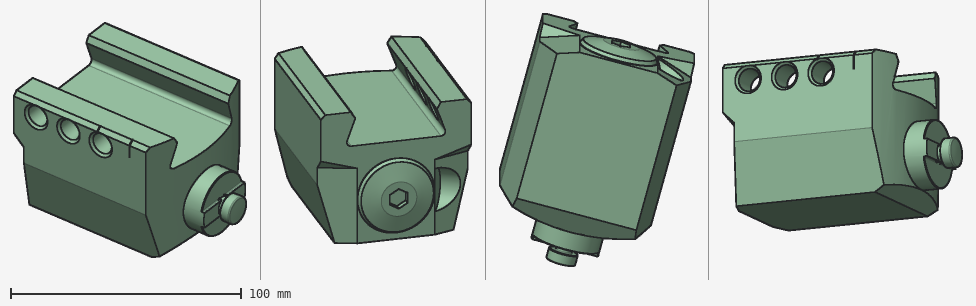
import cadquery as cq
import math

WIDTH = 68.0
HEIGHT = 62.0
END_RADIUS = 79.1
LOWER_FLANK_TOP = 27.1
BASE_WIDTH = 53.7
RAIL_CHAMFER = 2.0
RAIL_CHAMFER_ANGLE = 45.0
NOSE_START = 69.6
NOSE_ANGLE = 30.0

CHANNEL_FLOOR = 46.1
CHANNEL_LIP_WIDTH = 36.8
CHANNEL_LIP_DROP = 3.1
CHANNEL_LIP_ANGLE = 30.0
UNDERCUT_ANGLE = 20.0
CHANNEL_FILLET = 2.0

CORNER_CUT_INNER_WIDTH = 34.9
CORNER_CUT_DEPTH = 5.4
CORNER_CUT_TOP = 35.3

RECESS_RADIUS = 10.0
RECESS_HEIGHT = 21.0
RECESS_ANGLE = 60.0

HOLE_COUNT = 3
HOLE_FIRST_X = 12.1
HOLE_PITCH = 17.5
HOLE_HEIGHT = 54.0
HOLE_RADIUS = 5.0
COUNTERSINK = 1.2

MARK_COUNT = 2
MARK_FIRST_X = 45.2
MARK_WIDTH = 0.3
MARK_DEPTH = 0.2

AXIS_HEIGHT = 20.6
BOSS_RADIUS = 15.1
BOSS_FACE = 87.2
BOSS_CHAMFER = 0.3
TONGUE_FACE = 88.7
TONGUE_THICKNESS = 7.7
TONGUE_FILLET = 0.3
CLEARANCE_RADIUS = 4.4

BUTTON_RADIUS = 17.5
BUTTON_SHOULDER_RADIUS = 16.4
BUTTON_CROWN_RADIUS = 8.0
BUTTON_HEIGHT = 4.1
BUTTON_SHOULDER_HEIGHT = 1.9
BUTTON_RIM = 0.2
HEX_ACROSS_FLATS = 8.0
HEX_DEPTH = 3.0

KNOB_RADIUS = 6.5
KNOB_BACK = 90.9
KNOB_END = 96.3
KNOB_BACK_CHAMFER = 0.3
KNOB_EDGE_FILLET = 0.6
KNOB_DOME_RISE = 0.4
SHANK_RADIUS = 3.6
SHANK_FILLET = 0.3

HALF_WIDTH = WIDTH / 2
CORNER_ANGLE = math.degrees(math.atan2(CORNER_CUT_DEPTH, HALF_WIDTH - CORNER_CUT_INNER_WIDTH / 2))


def tangent(degrees):
    return math.tan(math.radians(degrees))


def axis_plane(x):
    """Plane facing +X at x, centred on the shared axis; local x is Y and local y is Z."""
    return cq.Workplane("YZ", origin=(x, 0, AXIS_HEIGHT))


def block():
    """Block with tapered flanks and chamfered rails, rounded in plan at the +X end."""
    half_base = BASE_WIDTH / 2
    chamfer_y = HALF_WIDTH - RAIL_CHAMFER
    chamfer_z = HEIGHT - RAIL_CHAMFER * tangent(RAIL_CHAMFER_ANGLE)
    section = (
        cq.Workplane("YZ")
        .polyline([
            (-half_base, 0), (half_base, 0),
            (HALF_WIDTH, LOWER_FLANK_TOP), (HALF_WIDTH, chamfer_z), (chamfer_y, HEIGHT),
            (-chamfer_y, HEIGHT), (-HALF_WIDTH, chamfer_z), (-HALF_WIDTH, LOWER_FLANK_TOP),
        ])
        .close()
        .extrude(END_RADIUS)
    )
    return section.intersect(cq.Workplane("XY").circle(END_RADIUS).extrude(HEIGHT))


def nose_slope():
    run = END_RADIUS - NOSE_START
    return (
        cq.Workplane("XZ")
        .polyline([(NOSE_START, 0), (END_RADIUS, 0), (END_RADIUS, run * tangent(NOSE_ANGLE))])
        .close()
        .extrude(HALF_WIDTH, both=True)
    )


def channel():
    """Dovetail channel with rounded floor corners."""
    half_lip = CHANNEL_LIP_WIDTH / 2
    lip_z = HEIGHT - CHANNEL_LIP_DROP
    half_top = half_lip + CHANNEL_LIP_DROP * tangent(CHANNEL_LIP_ANGLE)
    half_floor = half_lip + (lip_z - CHANNEL_FLOOR) * tangent(UNDERCUT_ANGLE)
    return (
        cq.Workplane("YZ")
        .polyline([
            (-half_floor, CHANNEL_FLOOR), (half_floor, CHANNEL_FLOOR),
            (half_lip, lip_z), (half_top, HEIGHT),
            (-half_top, HEIGHT), (-half_lip, lip_z),
        ])
        .close()
        .extrude(END_RADIUS)
        .edges("|X and <Z")
        .fillet(CHANNEL_FILLET)
    )


def corner_cut():
    """Slanted cut on the -Y corner, its roof rising outwards at 45 degrees."""
    reach = HALF_WIDTH
    angle = math.radians(CORNER_ANGLE)
    along = (math.sin(angle), -math.cos(angle), 0)
    outward = (-math.cos(angle), -math.sin(angle), 0)
    plane = cq.Plane(origin=(0, -CORNER_CUT_INNER_WIDTH / 2, 0), xDir=outward, normal=along)
    up = plane.yDir.z
    roof = CORNER_CUT_TOP
    return (
        cq.Workplane(plane)
        .polyline([(0, 0), (reach, 0), (reach, up * (roof + reach)), (0, up * roof)])
        .close()
        .extrude(reach, both=True)
    )


def corner_recess():
    """Round recess centred on the inner edge of the -Y corner cut."""
    angle = math.radians(RECESS_ANGLE)
    outward = (-math.cos(angle), -math.sin(angle), 0)
    plane = cq.Plane(
        origin=(0, -CORNER_CUT_INNER_WIDTH / 2, RECESS_HEIGHT), xDir=(0, 0, 1), normal=outward
    )
    return cq.Workplane(plane).circle(RECESS_RADIUS).extrude(HALF_WIDTH)


def cross_hole(x):
    """Hole through the -Y rail into the channel, countersunk at 45 degrees."""
    profile = [
        (0, 0), (HOLE_RADIUS + COUNTERSINK, 0), (HOLE_RADIUS, COUNTERSINK),
        (HOLE_RADIUS, HALF_WIDTH), (0, HALF_WIDTH),
    ]
    return (
        cq.Workplane("XY", origin=(x, -HALF_WIDTH, HOLE_HEIGHT))
        .polyline(profile)
        .close()
        .revolve(360, (0, 0, 0), (0, 1, 0))
    )


def index_mark(x):
    """Shallow groove up the -Y side from the hole centre height and over the rail chamfer."""
    floor_y = -HALF_WIDTH + MARK_DEPTH
    slope = tangent(RAIL_CHAMFER_ANGLE)
    bend_z = HEIGHT - RAIL_CHAMFER * slope - MARK_DEPTH * tangent(RAIL_CHAMFER_ANGLE / 2)
    top_y = floor_y + (HEIGHT - bend_z) / slope
    return (
        cq.Workplane("YZ", origin=(x, 0, 0))
        .polyline([
            (-HALF_WIDTH, HOLE_HEIGHT), (floor_y, HOLE_HEIGHT), (floor_y, bend_z),
            (top_y, HEIGHT), (-HALF_WIDTH, HEIGHT),
        ])
        .close()
        .extrude(MARK_WIDTH / 2, both=True)
    )


def boss():
    """Round boss with a filleted tongue across its face and a clearance round the knob shank."""
    start = END_RADIUS / 2
    disc = (
        axis_plane(start)
        .circle(BOSS_RADIUS)
        .extrude(BOSS_FACE - start)
        .faces(">X")
        .chamfer(BOSS_CHAMFER)
    )
    half = TONGUE_THICKNESS / 2
    flare = half + TONGUE_FILLET
    fillet_end = BOSS_FACE + TONGUE_FILLET
    tongue = (
        cq.Workplane("XZ", origin=(0, 0, AXIS_HEIGHT))
        .moveTo(start, -flare)
        .lineTo(BOSS_FACE, -flare)
        .radiusArc((fillet_end, -half), TONGUE_FILLET)
        .lineTo(TONGUE_FACE, -half)
        .lineTo(TONGUE_FACE, half)
        .lineTo(fillet_end, half)
        .radiusArc((BOSS_FACE, flare), TONGUE_FILLET)
        .lineTo(start, flare)
        .close()
        .extrude(BOSS_RADIUS, both=True)
        .intersect(axis_plane(start).circle(BOSS_RADIUS).extrude(TONGUE_FACE - start))
    )
    clearance = axis_plane(BOSS_FACE).circle(CLEARANCE_RADIUS).extrude(TONGUE_FACE - BOSS_FACE)
    return disc.union(tongue).cut(clearance)


def make_housing():
    housing = block().cut(nose_slope()).cut(channel())
    cut = corner_cut()
    housing = housing.cut(cut).cut(cut.mirror("XZ")).cut(corner_recess())
    for i in range(HOLE_COUNT):
        housing = housing.cut(cross_hole(HOLE_FIRST_X + i * HOLE_PITCH))
    for i in range(MARK_COUNT):
        housing = housing.cut(index_mark(MARK_FIRST_X + i * HOLE_PITCH))
    return housing.union(boss())


def make_button():
    """Conical button with a hexagonal socket, one corner of the hexagon pointing up."""
    head = (
        cq.Workplane("XZ", origin=(0, 0, AXIS_HEIGHT))
        .polyline([
            (0, 0), (0, BUTTON_RADIUS), (-BUTTON_RIM, BUTTON_RADIUS),
            (-BUTTON_SHOULDER_HEIGHT, BUTTON_SHOULDER_RADIUS),
            (-BUTTON_HEIGHT, BUTTON_CROWN_RADIUS), (-BUTTON_HEIGHT, 0),
        ])
        .close()
        .revolve(360, (0, 0, 0), (1, 0, 0))
    )
    across_corners = HEX_ACROSS_FLATS / math.cos(math.pi / 6)
    socket = (
        axis_plane(-BUTTON_HEIGHT)
        .transformed(rotate=(0, 0, 90))
        .polygon(6, across_corners)
        .extrude(HEX_DEPTH)
    )
    return head.cut(socket)


def make_knob():
    """Round knob with a slightly domed front, its shank standing on the boss face."""
    rim_end = KNOB_END - KNOB_DOME_RISE
    dome_edge = KNOB_RADIUS - KNOB_EDGE_FILLET
    dome_radius = (dome_edge**2 + KNOB_DOME_RISE**2) / (2 * KNOB_DOME_RISE)
    return (
        cq.Workplane("XZ", origin=(0, 0, AXIS_HEIGHT))
        .moveTo(BOSS_FACE, 0)
        .lineTo(BOSS_FACE, SHANK_RADIUS)
        .lineTo(KNOB_BACK - SHANK_FILLET, SHANK_RADIUS)
        .radiusArc((KNOB_BACK, SHANK_RADIUS + SHANK_FILLET), -SHANK_FILLET)
        .lineTo(KNOB_BACK, KNOB_RADIUS - KNOB_BACK_CHAMFER)
        .lineTo(KNOB_BACK + KNOB_BACK_CHAMFER, KNOB_RADIUS)
        .lineTo(rim_end - KNOB_EDGE_FILLET, KNOB_RADIUS)
        .radiusArc((rim_end, dome_edge), KNOB_EDGE_FILLET)
        .radiusArc((KNOB_END, 0), dome_radius)
        .close()
        .revolve(360, (0, 0, 0), (1, 0, 0))
    )


housing = make_housing()
button = make_button()
knob = make_knob()

result = cq.Compound.makeCompound([housing.val(), button.val(), knob.val()])